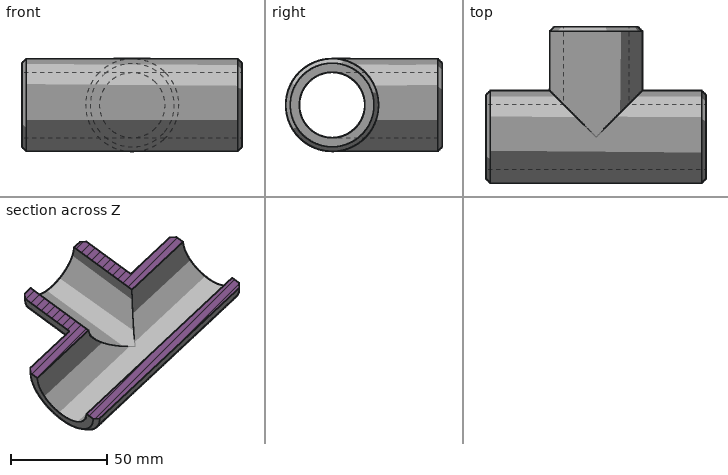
import cadquery as cq

run_length = 114.3
outer_diameter = 48.2
bore_diameter = 33.8
end_bevel = 2.4
branch_length = run_length / 2


def run_cylinder(diameter):
    """Cylinder along X, centred on the origin."""
    return cq.Workplane("YZ").circle(diameter / 2).extrude(run_length / 2, both=True)


def branch_cylinder(diameter):
    """Cylinder from the run axis to the branch end at +Y."""
    return cq.Workplane("XZ").circle(diameter / 2).extrude(-branch_length)


outer_run = run_cylinder(outer_diameter).faces("<X or >X").edges().chamfer(end_bevel)
outer_branch = branch_cylinder(outer_diameter).faces(">Y").edges().chamfer(end_bevel)

bores = run_cylinder(bore_diameter).union(branch_cylinder(bore_diameter))

result = outer_run.union(outer_branch).cut(bores)